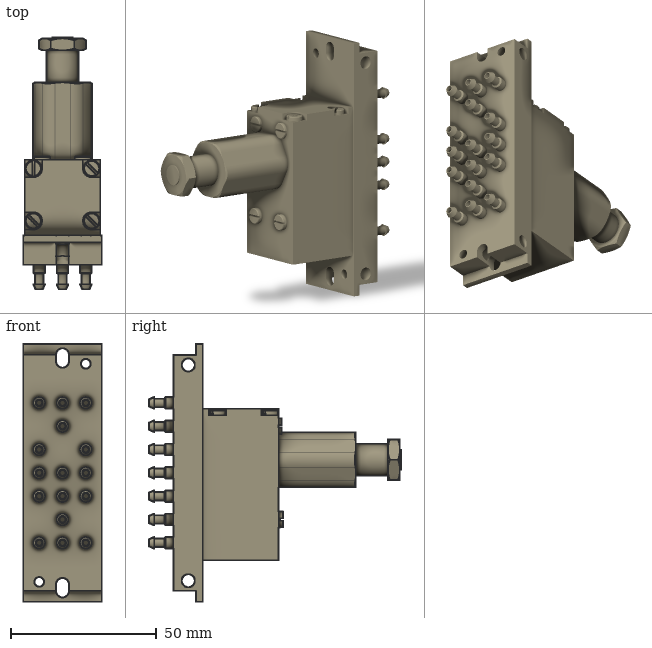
import cadquery as cq
import math

PLATE_WIDTH = 27.0
FLANGE_HEIGHT = 88.5
FLANGE_THICKNESS = 2.4
BLOCK_HEIGHT = 81.0
PLATE_DEPTH = 10.1

SLOT_WIDTH = 4.4
SLOT_LENGTH = 6.6
SLOT_Z = 39.4
CROSS_HOLE_DIAMETER = 4.4
CROSS_HOLE_Z = 37.0
CROSS_HOLE_Y = -5.0
CORNER_HOLE_DIAMETER = 3.24
CORNER_HOLE_X = 8.0
CORNER_HOLE_Z = 37.4

NIPPLE_PITCH = 8.0
ALL_COLUMNS = (-1, 0, 1)
NIPPLE_COLUMNS = {
    3: ALL_COLUMNS,
    2: (0,),
    1: (-1, 1),
    0: ALL_COLUMNS,
    -1: ALL_COLUMNS,
    -2: (0,),
    -3: ALL_COLUMNS,
}
NIPPLE_BASE_DIAMETER = 4.04
NIPPLE_BASE_LENGTH = 2.7
NIPPLE_CONE_LENGTH = 0.4
NIPPLE_NECK_DIAMETER = 3.0
NIPPLE_TIP_DIAMETER = 2.46
NIPPLE_LENGTH = 8.4
BARB_LENGTH = 1.75
BORE_DIAMETER = 2.0

CASE_WIDTH = 26.0
CASE_DEPTH = 26.0
CASE_TOP = 22.0
CASE_BOTTOM = -30.0

GLAND_Z = 4.5
SLEEVE_FLATS = 19.0
SLEEVE_CORNER_RADIUS = 5.0
SLEEVE_LENGTH = 26.5
SLEEVE_EMBED = 1.0
NECK_DIAMETER = 11.0
NECK_LENGTH = 11.0
NUT_FLATS = 14.0
NUT_THICKNESS = 4.1
BEVEL_ANGLE = 30.0
NUT_LIP_DIAMETER = 7.0
NUT_LIP_LENGTH = 0.4

SCREW_DIAMETER = 5.5
SCREW_HEAD_HEIGHT = 1.65
SCREW_CHAMFER = 0.2
SCREW_SLOT_WIDTH = 0.8
SCREW_SLOT_DEPTH = 1.1
LID_SCREW_X = 10.0
LID_FRONT_SCREW_Y = 5.0
LID_BACK_SCREW_Y = 23.0
POCKET_DIAMETER = 6.0
POCKET_DEPTH = 2.2
BACK_SCREW_X = 7.0
BACK_SCREW_Z = 16.0
UPPER_SCREW_SINK = 0.55


def box(x_range, y_range, z_range):
    """Box between two limits along each axis."""
    sizes = [high - low for low, high in (x_range, y_range, z_range)]
    corner = (x_range[0], y_range[0], z_range[0])
    return cq.Workplane("XY").box(*sizes, centered=False).translate(corner)


def on_gland_axis(y):
    """Workplane centred on the gland axis, looking toward +Y."""
    return cq.Workplane(cq.Plane(origin=(0, y, GLAND_Z), xDir=(-1, 0, 0), normal=(0, 1, 0)))


def on_plate_back(x, z):
    """Workplane on the plate's back face, looking toward -Y through the plate."""
    return cq.Workplane("XZ", origin=(x, 0, z))


def make_plate():
    half_width = PLATE_WIDTH / 2
    x_range = (-half_width, half_width)
    flange = box(x_range, (-FLANGE_THICKNESS, 0), (-FLANGE_HEIGHT / 2, FLANGE_HEIGHT / 2))
    block = box(x_range, (-PLATE_DEPTH, 0), (-BLOCK_HEIGHT / 2, BLOCK_HEIGHT / 2))
    plate = flange.union(block)
    for side in (1, -1):
        slot = on_plate_back(0, side * SLOT_Z).slot2D(SLOT_LENGTH, SLOT_WIDTH, 90).extrude(PLATE_DEPTH)
        corner_hole = (
            on_plate_back(side * CORNER_HOLE_X, side * CORNER_HOLE_Z)
            .circle(CORNER_HOLE_DIAMETER / 2)
            .extrude(PLATE_DEPTH)
        )
        cross_hole = (
            cq.Workplane("YZ", origin=(-half_width, CROSS_HOLE_Y, side * CROSS_HOLE_Z))
            .circle(CROSS_HOLE_DIAMETER / 2)
            .extrude(PLATE_WIDTH)
        )
        plate = plate.cut(slot).cut(corner_hole).cut(cross_hole)
    return plate


def make_nipple():
    """Barbed hose nipple along -Y with its root on Y = 0."""
    base_radius = NIPPLE_BASE_DIAMETER / 2
    neck_radius = NIPPLE_NECK_DIAMETER / 2
    bore_radius = BORE_DIAMETER / 2
    barb_start = NIPPLE_LENGTH - BARB_LENGTH
    return (
        cq.Workplane("XY")
        .moveTo(bore_radius, 0)
        .lineTo(base_radius, 0)
        .lineTo(base_radius, -NIPPLE_BASE_LENGTH)
        .lineTo(neck_radius, -NIPPLE_BASE_LENGTH - NIPPLE_CONE_LENGTH)
        .lineTo(neck_radius, -barb_start)
        .lineTo(base_radius, -barb_start)
        .lineTo(NIPPLE_TIP_DIAMETER / 2, -NIPPLE_LENGTH)
        .lineTo(bore_radius, -NIPPLE_LENGTH)
        .close()
        .revolve(360, (0, 0, 0), (0, 1, 0))
    )


def make_screw_head(slot_angle):
    """Slotted head on Z = 0, rising along +Z."""
    head = (
        cq.Workplane("XY")
        .circle(SCREW_DIAMETER / 2)
        .extrude(SCREW_HEAD_HEIGHT)
        .faces(">Z")
        .chamfer(SCREW_CHAMFER)
    )
    slot = (
        cq.Workplane("XY", origin=(0, 0, SCREW_HEAD_HEIGHT))
        .rect(SCREW_DIAMETER, SCREW_SLOT_WIDTH)
        .extrude(-SCREW_SLOT_DEPTH)
        .rotate((0, 0, 0), (0, 0, 1), slot_angle)
    )
    return head.cut(slot)


def make_pocket(x_side, screw_y):
    """Round-ended lid pocket around one screw, open to the nearest side of the case."""
    radius = POCKET_DIAMETER / 2
    z_range = (CASE_TOP - POCKET_DEPTH, CASE_TOP)
    screw_x = x_side * LID_SCREW_X
    side_x = x_side * CASE_WIDTH / 2
    round_end = (
        cq.Workplane("XY", origin=(screw_x, screw_y, z_range[0])).circle(radius).extrude(POCKET_DEPTH)
    )
    side_opening = box(sorted((screw_x, side_x)), (screw_y - radius, screw_y + radius), z_range)
    pocket = round_end.union(side_opening)
    if screw_y == LID_BACK_SCREW_Y:
        inner_x = x_side * (LID_SCREW_X - radius)
        pocket = pocket.union(box(sorted((inner_x, side_x)), (screw_y, CASE_DEPTH), z_range))
    return pocket


def make_case():
    half_width = CASE_WIDTH / 2
    case = box((-half_width, half_width), (0, CASE_DEPTH), (CASE_BOTTOM, CASE_TOP))
    for x_side in (-1, 1):
        for screw_y in (LID_FRONT_SCREW_Y, LID_BACK_SCREW_Y):
            case = case.cut(make_pocket(x_side, screw_y))
    return case


def add_lid_screws(body):
    for x_side in (-1, 1):
        for y in (LID_FRONT_SCREW_Y, LID_BACK_SCREW_Y):
            is_back_left = x_side < 0 and y == LID_BACK_SCREW_Y
            slot_angle = 90 if is_back_left else -45
            head = make_screw_head(slot_angle)
            body = body.union(head.translate((x_side * LID_SCREW_X, y, CASE_TOP - POCKET_DEPTH)))
    return body


def add_back_screws(body):
    """Heads on the case back; the upper pair is partly sunk into the case."""
    head = make_screw_head(0).rotate((0, 0, 0), (1, 0, 0), -90)
    for z, sink in ((BACK_SCREW_Z, UPPER_SCREW_SINK), (-BACK_SCREW_Z, 0)):
        for x_side in (-1, 1):
            body = body.union(head.translate((x_side * BACK_SCREW_X, CASE_DEPTH - sink, z)))
    return body


def make_bevelled_hexagon(y, flats, length, corner_fillet=0):
    """Hexagonal prism on the gland axis, corners along X and turned bevels on both ends."""
    flat_radius = flats / 2
    corner_radius = flat_radius / math.cos(math.pi / 6)
    bevel = (corner_radius - flat_radius) * math.tan(math.radians(BEVEL_ANGLE))
    prism = on_gland_axis(y).polygon(6, 2 * corner_radius).extrude(length)
    if corner_fillet:
        prism = prism.edges("|Y").fillet(corner_fillet)
    envelope = (
        cq.Workplane("XY")
        .moveTo(0, 0)
        .lineTo(flat_radius, 0)
        .lineTo(corner_radius, bevel)
        .lineTo(corner_radius, length - bevel)
        .lineTo(flat_radius, length)
        .lineTo(0, length)
        .close()
        .revolve(360, (0, 0, 0), (0, 1, 0))
        .translate((0, y, GLAND_Z))
    )
    return prism.intersect(envelope)


def make_gland():
    """Sleeve, neck and nut; the sleeve's inner bevel is buried in the case."""
    neck_start = CASE_DEPTH + SLEEVE_LENGTH
    nut_start = neck_start + NECK_LENGTH
    nut_end = nut_start + NUT_THICKNESS
    sleeve = make_bevelled_hexagon(
        CASE_DEPTH - SLEEVE_EMBED,
        SLEEVE_FLATS,
        SLEEVE_LENGTH + SLEEVE_EMBED,
        SLEEVE_CORNER_RADIUS,
    )
    neck = on_gland_axis(neck_start).circle(NECK_DIAMETER / 2).extrude(NECK_LENGTH)
    nut = make_bevelled_hexagon(nut_start, NUT_FLATS, NUT_THICKNESS)
    lip = on_gland_axis(nut_end).circle(NUT_LIP_DIAMETER / 2).extrude(NUT_LIP_LENGTH)
    return sleeve.union(neck).union(nut).union(lip)


def add_nipples(body):
    nipple = make_nipple()
    for row, columns in NIPPLE_COLUMNS.items():
        for column in columns:
            place = (column * NIPPLE_PITCH, -PLATE_DEPTH, row * NIPPLE_PITCH)
            body = body.union(nipple.translate(place))
    return body


result = make_plate().union(make_case()).union(make_gland())
result = add_lid_screws(result)
result = add_back_screws(result)
result = add_nipples(result)